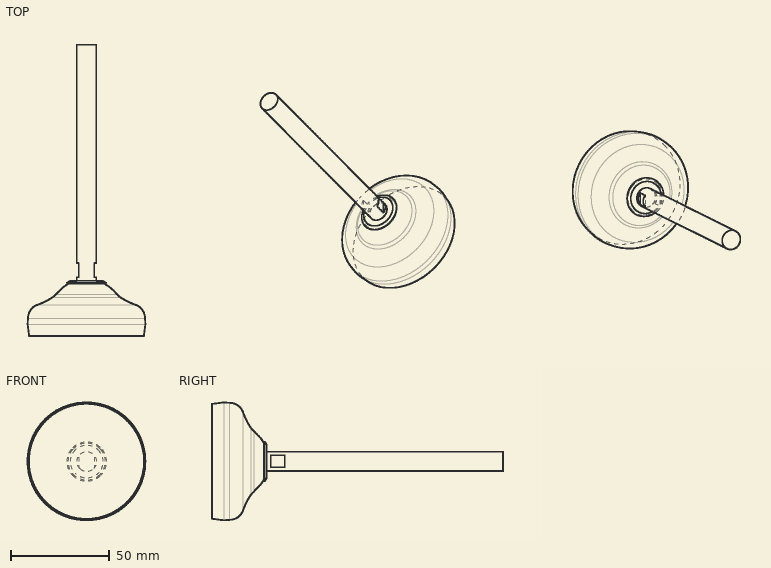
import cadquery as cq

total_length = 148.0

base_radius = 29.2
rim_radius = 30.0
rim_height = 6.0
shoulder_start_radius = 29.8
shoulder_start_height = 9.0
shoulder_end_radius = 25.3
shoulder_end_height = 15.8
shoulder_arc_radius = 7.4
flank_arc_radius = 35.0
cone_bottom_radius = 17.1
cone_bottom_height = 19.8
dome_bottom_radius = 15.6
dome_bottom_height = 21.2
dome_top_radius = 9.4
dome_top_height = 26.5
dome_arc_radius = 22.0

rod_radius = 5.0
collar_radius = 10.0
collar_edge_height = 27.0
collar_top_radius = 8.3
collar_top_height = 28.0
flats_width = 8.0
flats_start_height = 30.0
flats_length = 7.0


def make_foot():
    """Revolve the foot from its flat base up to the flat top of the dome."""
    profile = (
        cq.Workplane("XY")
        .lineTo(base_radius, 0)
        .lineTo(rim_radius, rim_height)
        .lineTo(shoulder_start_radius, shoulder_start_height)
        .radiusArc((shoulder_end_radius, shoulder_end_height), -shoulder_arc_radius)
        .radiusArc((cone_bottom_radius, cone_bottom_height), flank_arc_radius)
        .lineTo(dome_bottom_radius, dome_bottom_height)
        .radiusArc((dome_top_radius, dome_top_height), -dome_arc_radius)
        .lineTo(0, dome_top_height)
        .close()
    )
    return profile.revolve(360, (0, 0, 0), (0, 1, 0))


def make_wrench_flat_cutters():
    """Two blocks, one on each side in X, that leave the flats between them."""
    flat_depth = rod_radius - flats_width / 2
    block_offset = flats_width / 2 + flat_depth / 2
    block_height = flats_start_height + flats_length / 2
    return (
        cq.Workplane("XY")
        .pushPoints([(-block_offset, block_height), (block_offset, block_height)])
        .rect(flat_depth, flats_length)
        .extrude(rod_radius, both=True)
    )


def make_spindle():
    """Revolve the collar and rod, resting on the dome, then cut the wrench flats."""
    profile = (
        cq.Workplane("XY")
        .moveTo(0, dome_top_height)
        .lineTo(dome_top_radius, dome_top_height)
        .lineTo(collar_radius, collar_edge_height)
        .lineTo(collar_top_radius, collar_top_height)
        .lineTo(rod_radius, collar_top_height)
        .lineTo(rod_radius, total_length)
        .lineTo(0, total_length)
        .close()
    )
    return profile.revolve(360, (0, 0, 0), (0, 1, 0)).cut(make_wrench_flat_cutters())


foot = make_foot()
spindle = make_spindle()

result = cq.Compound.makeCompound([foot.val(), spindle.val()])